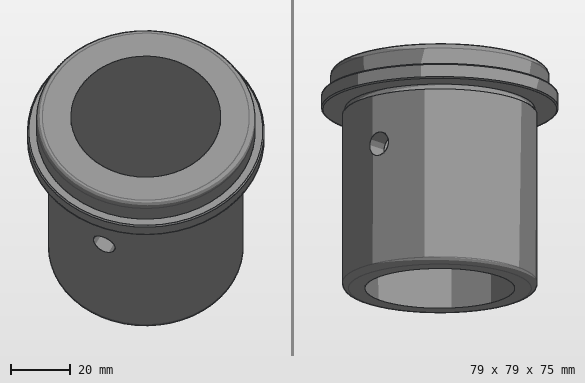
import cadquery as cq
import math

total_height = 75.0
flange_diameter = 79.0
head_diameter = 73.0
body_diameter = 65.0
bore_diameter = 50.0

head_height = 8.0
flange_thickness = 5.1
flange_edge_chamfer = 0.5
head_fillet = 2.0
body_end_fillet = 2.0

groove_height = 1.9
groove_depth = 0.9
groove_waist_rise = 1.35
groove_radius = (groove_depth**2 + groove_waist_rise**2) / (2 * groove_depth)

hole_diameter = 8.0
hole_drop_from_top = 32.0

flange_top = total_height - head_height
flange_bottom = flange_top - flange_thickness
body_top = flange_bottom - groove_height


def cylinder(diameter, bottom, top):
    return cq.Workplane("XY").workplane(offset=bottom).circle(diameter / 2).extrude(top - bottom)


def relief_groove():
    """Solid disc with a concave arc rim, narrowest at the waist and flaring slightly into the flange."""
    rim_radius = body_diameter / 2
    waist_radius = rim_radius - groove_depth
    above_waist = groove_height - groove_waist_rise
    top_radius = waist_radius + groove_radius - math.sqrt(groove_radius**2 - above_waist**2)
    return (
        cq.Workplane("XZ")
        .moveTo(0, body_top)
        .lineTo(rim_radius, body_top)
        .threePointArc((waist_radius, body_top + groove_waist_rise), (top_radius, flange_bottom))
        .lineTo(0, flange_bottom)
        .close()
        .revolve(360, (0, 0, 0), (0, 1, 0))
    )


body = cylinder(body_diameter, 0, body_top).faces("<Z").edges().fillet(body_end_fillet)
groove = relief_groove()
flange = cylinder(flange_diameter, flange_bottom, flange_top).edges().chamfer(flange_edge_chamfer)
head = cylinder(head_diameter, flange_top, total_height).faces(">Z").edges().fillet(head_fillet)

bore = cylinder(bore_diameter, 0, total_height)
radial_hole = (
    cq.Workplane("XZ")
    .center(0, total_height - hole_drop_from_top)
    .circle(hole_diameter / 2)
    .extrude(flange_diameter / 2)
)

result = body.union(groove).union(flange).union(head).cut(bore).cut(radial_hole)